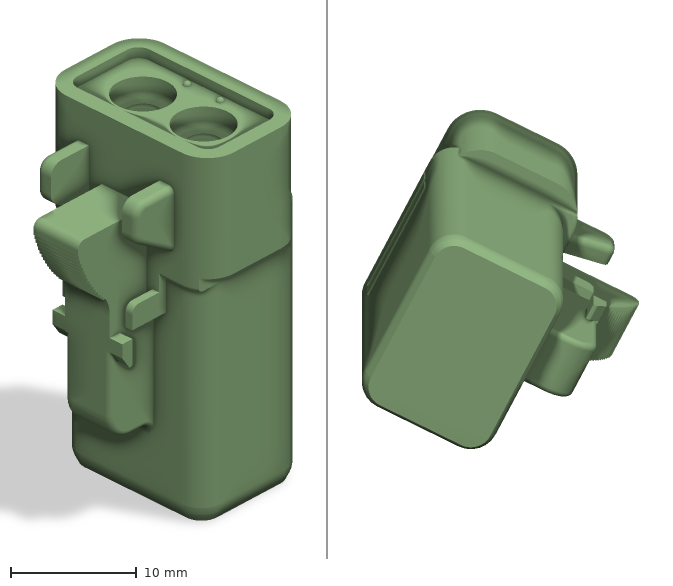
import cadquery as cq
import math


TOTAL_HEIGHT = 34.7
HEAD_WIDTH = 18.55
HEAD_DEPTH = 11.25
HEAD_RADIUS = 2.9
HEAD_BOTTOM = 23.45
HEAD_FRONT = -HEAD_DEPTH / 2

BODY_WIDTH = 15.7
BODY_BACK = 6.87
BODY_FRONT = -4.82
BODY_DEPTH = BODY_BACK - BODY_FRONT
BODY_RADIUS = 2.22
BODY_TOP = 26.5
BODY_TOP_ROUND = 0.8
BEVEL_HEIGHT = 1.08
BEVEL_INSET = 0.52
BEVEL_BLEND = 1.75

LIP_BOTTOM = 22.1
LIP_ROUND = 0.4

STRIP_WIDTH = 10.0
STRIP_HEIGHT = 1.75
STRIP_RAISE = 0.15
STRIP_BOTTOMS = (20.35, 22.85)

RECESS_DEPTH = 1.0
RECESS_WIDTH = BODY_WIDTH
RECESS_LENGTH = 8.22
RECESS_RADIUS = 1.25
RECESS_FLOOR = TOTAL_HEIGHT - RECESS_DEPTH
CAVITY_SPACING = 6.7
CAVITY_RADIUS = 2.7
CAVITY_DEPTH = 1.85
CAVITY_ROUND = 0.5
SOCKET_RADIUS = 1.6
SOCKET_ROUND = 0.25
DOME_SPACING = 3.65
DOME_Y = 3.47
DOME_RADIUS = 0.35

PAD_WIDTH = 7.7
PAD_BOTTOM = 18.53
RIB_THICKNESS = 0.73
RIB_TOP = 20.7
RIB_TIP = -8.7
RIB_ROUND = 0.75

FIN_INNER_X = 3.92
FIN_THICKNESS = 1.55
FIN_TOP = 31.13
FIN_TIP = -9.95
FIN_TIP_BOTTOM = 27.65
FIN_ROOT_BOTTOM = 25.02
FIN_CORNER_ROUND = 1.18
FIN_EDGE_ROUND = 0.6

LATCH_WIDTH = 4.93
LATCH_FACE = -9.85
LATCH_TOP = 28.15
LATCH_TIP = -13.5
LATCH_TIP_ROUND = 0.75
LATCH_FOOT = 7.75
LATCH_FOOT_ROUND = 2.5
LATCH_ROOT_ROUND = 1.25
LATCH_EDGE_ROUND = 0.5
GRIP_TOP = 27.27
GRIP_BOTTOM = (-10.35, 21.6)
GRIP_BULGE = 0.4
GRIP_TEETH = 15
NECK_MIDDLE = (-10.0, 20.82)
NECK_BOTTOM = 19.7

BAR_TOP = 17.73
BAR_FACE_BOTTOM = 16.4
BAR_BOTTOM = 15.25
BAR_BACK = RIB_TIP
BAR_TOE = 0.35
BAR_TOE_ROUND = 0.15

OVERLAP = 1.05

MARGIN = 0.05


def rounded_block(width, depth, radius, bottom, top, center_y=0.0):
    """Upright block with rounded vertical edges."""
    block = cq.Workplane("XY", origin=(0, center_y, bottom)).rect(width, depth).extrude(top - bottom)
    return block.edges("|Z").fillet(radius)


def side_profile(x_start):
    """Sketch plane whose points are (Y, Z), extruding toward +X from x_start."""
    return cq.Workplane("YZ", origin=(x_start, 0, 0))


def box_between(x_range, y_range, z_range):
    """Box given by its limits along the three axes."""
    size = [high - low for low, high in (x_range, y_range, z_range)]
    corner = (x_range[0], y_range[0], z_range[0])
    return cq.Workplane("XY").box(*size, centered=False).translate(corner)


def both_sides(shape):
    """The shape together with its mirror image across X = 0."""
    return shape.union(shape.mirror("YZ"))


def make_body():
    center_y = (BODY_BACK + BODY_FRONT) / 2
    body = rounded_block(BODY_WIDTH, BODY_DEPTH, BODY_RADIUS, 0, BODY_TOP, center_y)
    body = body.faces(">Z").edges().fillet(BODY_TOP_ROUND)
    body = body.faces("<Z").chamfer(BEVEL_HEIGHT, BEVEL_INSET)
    bevel_start = cq.selectors.BoxSelector(
        (-HEAD_WIDTH, -HEAD_WIDTH, BEVEL_HEIGHT - MARGIN),
        (HEAD_WIDTH, HEAD_WIDTH, BEVEL_HEIGHT + MARGIN),
    )
    body = body.edges(bevel_start).fillet(BEVEL_BLEND)
    for bottom in STRIP_BOTTOMS:
        strip = box_between(
            (-STRIP_WIDTH / 2, STRIP_WIDTH / 2),
            (BODY_BACK - OVERLAP, BODY_BACK + STRIP_RAISE),
            (bottom, bottom + STRIP_HEIGHT),
        )
        body = body.union(strip)
    return body


def make_head():
    return rounded_block(HEAD_WIDTH, HEAD_DEPTH, HEAD_RADIUS, HEAD_BOTTOM, TOTAL_HEIGHT)


def make_lip():
    lip = rounded_block(HEAD_WIDTH, HEAD_DEPTH, HEAD_RADIUS, LIP_BOTTOM, HEAD_BOTTOM)
    front_zone = box_between(
        (-BODY_WIDTH / 2, BODY_WIDTH / 2),
        (HEAD_FRONT, BODY_FRONT + BODY_RADIUS),
        (LIP_BOTTOM, HEAD_BOTTOM),
    )
    lip = lip.intersect(front_zone)
    front_edge = cq.selectors.BoxSelector(
        (-BODY_WIDTH / 2 + MARGIN, HEAD_FRONT - MARGIN, LIP_BOTTOM - MARGIN),
        (BODY_WIDTH / 2 - MARGIN, BODY_FRONT - MARGIN, LIP_BOTTOM + MARGIN),
    )
    return lip.edges(front_edge).fillet(LIP_ROUND)


def make_pad_and_ribs():
    half_width = PAD_WIDTH / 2
    pad = box_between(
        (-half_width, half_width),
        (HEAD_FRONT, BODY_FRONT + OVERLAP),
        (PAD_BOTTOM, HEAD_BOTTOM + OVERLAP),
    )
    rib = box_between(
        (half_width - RIB_THICKNESS, half_width),
        (RIB_TIP, BODY_FRONT + OVERLAP),
        (PAD_BOTTOM, RIB_TOP),
    )
    rib = rib.edges("<Y and >Z").fillet(RIB_ROUND)
    return pad.union(both_sides(rib))


def make_fins():
    root = HEAD_FRONT + OVERLAP
    fin = (
        side_profile(FIN_INNER_X)
        .moveTo(root, FIN_TOP)
        .lineTo(FIN_TIP, FIN_TOP)
        .lineTo(FIN_TIP, FIN_TIP_BOTTOM)
        .lineTo(HEAD_FRONT, FIN_ROOT_BOTTOM)
        .lineTo(root, FIN_ROOT_BOTTOM)
        .close()
        .extrude(FIN_THICKNESS)
    )
    tip_corners = cq.selectors.BoxSelector(
        (FIN_INNER_X, FIN_TIP - MARGIN, FIN_ROOT_BOTTOM),
        (FIN_INNER_X + FIN_THICKNESS, FIN_TIP + MARGIN, FIN_TOP + MARGIN),
    )
    fin = fin.edges("|X").edges(tip_corners).fillet(FIN_CORNER_ROUND)
    outer_rim = cq.selectors.BoxSelector(
        (FIN_INNER_X + FIN_THICKNESS - MARGIN, FIN_TIP - MARGIN, FIN_ROOT_BOTTOM + MARGIN),
        (FIN_INNER_X + FIN_THICKNESS + MARGIN, root - MARGIN, FIN_TOP + MARGIN),
    )
    fin = fin.edges(outer_rim).fillet(FIN_EDGE_ROUND)
    return both_sides(fin)


def grip_points():
    """Points (Y, Z) evenly spaced along the bulged arc of the thumb grip, from top to bottom."""
    top_y, top_z = LATCH_TIP, GRIP_TOP
    bottom_y, bottom_z = GRIP_BOTTOM
    chord = math.hypot(bottom_y - top_y, bottom_z - top_z)
    radius = (chord / 2) ** 2 / (2 * GRIP_BULGE) + GRIP_BULGE / 2
    half_angle = math.asin(chord / 2 / radius)
    chord_y = (bottom_y - top_y) / chord
    chord_z = (bottom_z - top_z) / chord
    points = []
    for step in range(GRIP_TEETH + 1):
        angle = half_angle * (2 * step / GRIP_TEETH - 1)
        along = chord / 2 + radius * math.sin(angle)
        outward = radius * (math.cos(angle) - math.cos(half_angle))
        points.append((
            top_y + along * chord_y + outward * chord_z,
            top_z + along * chord_z - outward * chord_y,
        ))
    return points


def make_upper_latch():
    root = BODY_FRONT + OVERLAP
    profile = (
        side_profile(-LATCH_WIDTH / 2)
        .moveTo(root, BAR_FACE_BOTTOM)
        .lineTo(root, LATCH_TOP)
        .lineTo(LATCH_TIP, LATCH_TOP)
        .lineTo(LATCH_TIP, GRIP_TOP)
    )
    points = grip_points()
    for upper, lower in zip(points, points[1:]):
        profile = profile.lineTo(upper[0], lower[1]).lineTo(*lower)
    latch = (
        profile.threePointArc(NECK_MIDDLE, (LATCH_FACE, NECK_BOTTOM))
        .lineTo(LATCH_FACE, BAR_FACE_BOTTOM)
        .close()
        .extrude(LATCH_WIDTH)
    )
    return latch.edges("|X and >Z and <Y").fillet(LATCH_TIP_ROUND)


def make_lower_latch():
    root = BODY_FRONT + OVERLAP
    foot_arc_end = (LATCH_FACE + LATCH_FOOT_ROUND, LATCH_FOOT)
    root_arc_end = (BODY_FRONT, LATCH_FOOT - LATCH_ROOT_ROUND)
    latch = (
        side_profile(-LATCH_WIDTH / 2)
        .moveTo(root, BAR_FACE_BOTTOM)
        .lineTo(LATCH_FACE, BAR_FACE_BOTTOM)
        .lineTo(LATCH_FACE, LATCH_FOOT + LATCH_FOOT_ROUND)
        .radiusArc(foot_arc_end, -LATCH_FOOT_ROUND)
        .lineTo(root_arc_end[0] - LATCH_ROOT_ROUND, LATCH_FOOT)
        .radiusArc(root_arc_end, LATCH_ROOT_ROUND)
        .lineTo(root, root_arc_end[1])
        .close()
        .extrude(LATCH_WIDTH)
    )
    outer_rims = cq.Workplane("XY")
    for side in (-1, 1):
        rim = cq.selectors.BoxSelector(
            (side * LATCH_WIDTH / 2 - MARGIN, LATCH_FACE - MARGIN, root_arc_end[1] + MARGIN),
            (side * LATCH_WIDTH / 2 + MARGIN, root_arc_end[0] - MARGIN, BAR_FACE_BOTTOM - MARGIN),
        )
        outer_rims = outer_rims.add(latch.edges(rim))
    return latch.newObject(outer_rims.vals()).fillet(LATCH_EDGE_ROUND)


def lower_latch_zone():
    """Space below the square front face of the crossbar, kept free for the rounded latch edges."""
    return box_between(
        (-LATCH_WIDTH / 2, LATCH_WIDTH / 2),
        (LATCH_FACE, BAR_BACK),
        (BAR_BOTTOM, BAR_FACE_BOTTOM),
    )


def make_crossbar():
    bar = (
        side_profile(-PAD_WIDTH / 2)
        .moveTo(BAR_BACK, BAR_TOP)
        .lineTo(LATCH_FACE, BAR_TOP)
        .lineTo(LATCH_FACE, BAR_FACE_BOTTOM)
        .lineTo(BAR_BACK - BAR_TOE, BAR_BOTTOM)
        .lineTo(BAR_BACK, BAR_BOTTOM)
        .close()
        .extrude(PAD_WIDTH)
    )
    bar = bar.edges("|X and <Z").fillet(BAR_TOE_ROUND)
    return bar.cut(lower_latch_zone())


def make_cavity(center_x):
    """Stepped contact cavity: a wide bore and a shallow socket, both with rounded floors."""
    cavity_floor = RECESS_FLOOR - CAVITY_DEPTH
    bore = cq.Workplane("XY", origin=(center_x, 0, cavity_floor)).circle(CAVITY_RADIUS).extrude(CAVITY_DEPTH)
    bore = bore.faces("<Z").edges().fillet(CAVITY_ROUND)
    socket = cq.Workplane("XY", origin=(center_x, 0, cavity_floor - SOCKET_ROUND)).circle(SOCKET_RADIUS)
    socket = socket.extrude(SOCKET_ROUND + OVERLAP)
    socket = socket.faces("<Z").edges().fillet(SOCKET_ROUND)
    return bore.union(socket)


def make_dome(center_x):
    return cq.Workplane("XY").sphere(DOME_RADIUS).translate((center_x, DOME_Y, RECESS_FLOOR))


result = make_body().union(make_head()).union(make_lip())
result = result.union(make_pad_and_ribs()).union(make_fins())
result = result.union(make_upper_latch()).union(make_lower_latch()).union(make_crossbar())

result = result.cut(
    rounded_block(RECESS_WIDTH, RECESS_LENGTH, RECESS_RADIUS, RECESS_FLOOR, TOTAL_HEIGHT)
)
for side in (-1, 1):
    result = result.cut(make_cavity(side * CAVITY_SPACING / 2))
    result = result.union(make_dome(side * DOME_SPACING / 2))